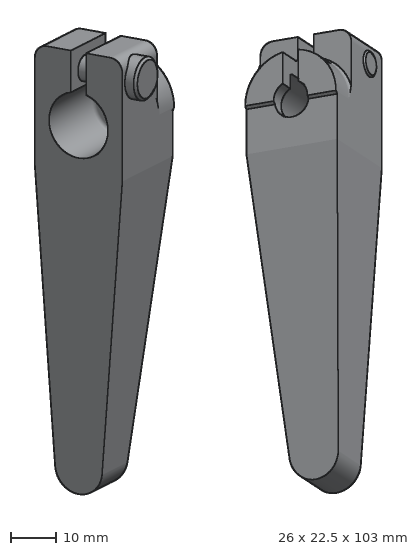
import cadquery as cq

height = 103.0
width = 22.7
half_width = width / 2
hub_z = height - 17.1
taper_z = height - 28.3
tip_z = 5.5
tip_half_width = 6.1
jaw_depth = 15.0
body_depth = 21.8
tip_depth = 10.2
corner_radius = 3.1

hub_depth = 22.5
hub_step = hub_depth - body_depth
flare_depth = 1.1
flare_growth = 0.5

bore_diameter = 15.2
bore_depth = 18.7
bore_fillet = 0.9
hole_diameter = 8.4
slot_width = 3.9

screw_y = 6.1
screw_z = height - 5.7
shank_diameter = 6.1
shank_protrusion = 0.4
head_diameter = 10.0
head_protrusion = 2.9
head_chamfer = 0.6


def cylinder_y(diameter, y_start, y_end):
    """Cylinder on the bore axis between two Y positions."""
    base = cq.Workplane("XZ", origin=(0, y_start, hub_z))
    return base.circle(diameter / 2).extrude(y_start - y_end)


def cylinder_x(diameter, x_start, x_end):
    """Cylinder on the screw axis between two X positions."""
    base = cq.Workplane("YZ", origin=(x_start, screw_y, screw_z))
    return base.circle(diameter / 2).extrude(x_end - x_start)


def make_body():
    """Arm and jaws: the front outline crossed with the side outline."""
    front = (
        cq.Workplane("XZ")
        .moveTo(-half_width, height)
        .lineTo(half_width, height)
        .lineTo(half_width, taper_z)
        .lineTo(tip_half_width, tip_z)
        .threePointArc((0, 0), (-tip_half_width, tip_z))
        .lineTo(-half_width, taper_z)
        .close()
        .extrude(-hub_depth)
        .edges("|Y and >Z")
        .fillet(corner_radius)
    )
    side = (
        cq.Workplane("YZ", origin=(-half_width, 0, 0))
        .polyline([
            (0, 0),
            (tip_depth, 0),
            (body_depth, taper_z),
            (body_depth, hub_z - hub_step),
            (hub_depth, hub_z),
            (jaw_depth, hub_z),
            (jaw_depth, height),
            (0, height),
        ])
        .close()
        .extrude(width)
    )
    return front.intersect(side)


def make_hub():
    """Upper half of a round hub, flared where it meets the jaws."""
    flare_radius = half_width + flare_growth
    hub = (
        cq.Workplane("XY", origin=(0, 0, hub_z))
        .moveTo(0, hub_depth)
        .lineTo(half_width, hub_depth)
        .lineTo(half_width, jaw_depth + flare_depth)
        .tangentArcPoint((flare_radius, jaw_depth), relative=False)
        .lineTo(0, jaw_depth)
        .close()
        .revolve(360, (0, 0, 0), (0, 1, 0))
    )
    upper_half = cq.Workplane("XY", origin=(0, 0, hub_z)).box(
        width, 2 * hub_depth, half_width + flare_growth, centered=(True, True, False)
    )
    return hub.intersect(upper_half)


def make_clamp_cut():
    """Blind bore with a rounded floor edge, through hole and slot."""
    bore = cylinder_y(bore_diameter, 0, bore_depth).faces(">Y").fillet(bore_fillet)
    hole = cylinder_y(hole_diameter, 0, hub_depth)
    slot = cq.Workplane("XY", origin=(0, 0, hub_z)).box(
        slot_width, 2 * hub_depth, height - hub_z, centered=(True, True, False)
    )
    return bore.union(hole).union(slot)


def make_screw():
    """Screw whose head sinks into the rounded corner of one jaw."""
    shank_end = -half_width - shank_protrusion
    head_start = half_width - corner_radius
    head_end = half_width + head_protrusion
    shank = cylinder_x(shank_diameter, shank_end, head_start)
    shank = shank.faces("<X").chamfer(shank_protrusion)
    head = cylinder_x(head_diameter, head_start, head_end)
    head = head.faces(">X").chamfer(head_chamfer)
    return shank.union(head)


result = make_body().union(make_hub()).cut(make_clamp_cut()).union(make_screw())